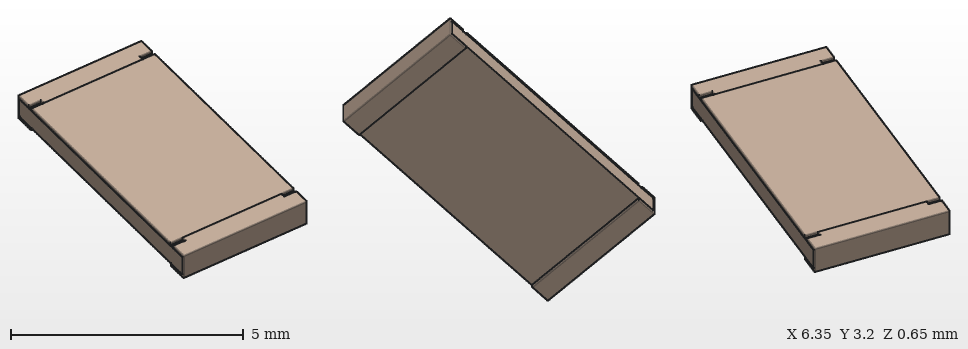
import cadquery as cq

length = 6.35
width = 3.2
height = 0.65

end_thickness = 0.06
bottom_thickness = 0.075
top_thickness = 0.075
edge_radius = 0.016

bottom_pad_length = 0.5
top_pad_length = 0.405
tongue_length = 0.515
corner_notch_width = 0.31

core_length = length - 2 * end_thickness
core_height = height - bottom_thickness - top_thickness
core_top = height - top_thickness
tongue_width = width - 2 * corner_notch_width


def make_core():
    """Plain ceramic block."""
    block = cq.Workplane("XY").box(core_length, width, core_height, centered=(True, True, False))
    return block.translate((0, 0, bottom_thickness))


def make_coating():
    """Flat coating on the core, with a rounded rim around its top face."""
    coating_length = length - 2 * tongue_length
    slab = cq.Workplane("XY").box(coating_length, width, top_thickness, centered=(True, True, False))
    return slab.faces(">Z").edges().fillet(edge_radius).translate((0, 0, core_top))


def make_left_termination():
    """C-shaped wrap around the -X end of the core, with a wide tongue reaching the coating."""
    outer_x = -length / 2
    inner_x = outer_x + end_thickness
    wrap = (
        cq.Workplane("XZ")
        .moveTo(outer_x, 0)
        .lineTo(outer_x + bottom_pad_length, 0)
        .lineTo(outer_x + bottom_pad_length, bottom_thickness)
        .lineTo(inner_x, bottom_thickness)
        .lineTo(inner_x, core_top)
        .lineTo(outer_x + tongue_length, core_top)
        .lineTo(outer_x + tongue_length, height)
        .lineTo(outer_x, height)
        .close()
        .extrude(width / 2, both=True)
    )

    notch_length = tongue_length - top_pad_length
    notch_x = outer_x + top_pad_length + notch_length / 2
    notch_y = (tongue_width + corner_notch_width) / 2
    for side in (-1, 1):
        notch = cq.Workplane("XY").box(
            notch_length, corner_notch_width, top_thickness, centered=(True, True, False)
        )
        wrap = wrap.cut(notch.translate((notch_x, side * notch_y, core_top)))

    return wrap.faces("<X or >Z or <Z").edges().fillet(edge_radius)


core = make_core()
coating = make_coating()
left_termination = make_left_termination()
right_termination = left_termination.mirror("YZ")

result = cq.Compound.makeCompound(
    [core.val(), coating.val(), left_termination.val(), right_termination.val()]
)